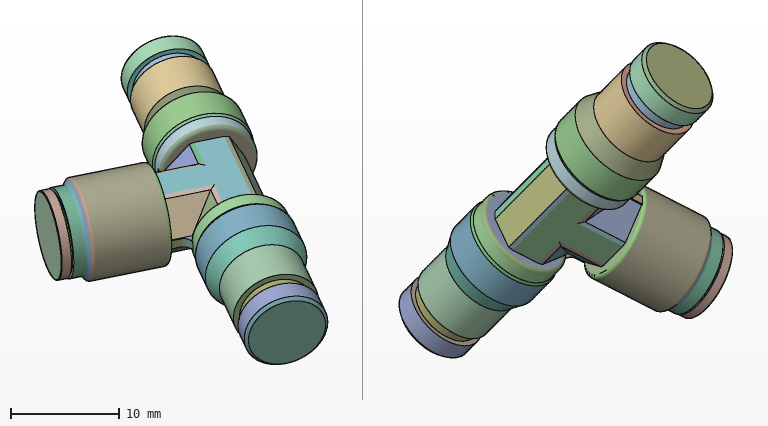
import cadquery as cq

run_half_length = 19.65
run_collar_start = 17.42
run_groove_start = 16.2
cone_end = 11.8
shoulder_end = 9.95
shoulder_start = 6.75
lip_end = 6.5
lip_start = 4.85
run_collar_radius = 4.05
run_groove_radius = 3.55
run_tube_radius = 4.13
shoulder_radius = 4.9
lip_radius = 4.75
lip_round = 0.4
run_end_chamfer = 0.3

branch_length = 17.1
branch_collar_start = 16.13
branch_groove_start = 15.93
neck_start = 14.8
taper_end = 14.47
taper_start = 14.25
sleeve_end = 14.0
sleeve_start = 6.53
branch_collar_radius = 4.25
branch_groove_radius = 3.97
neck_radius = 4.33
taper_inner_radius = 4.5
taper_outer_radius = 4.8
sleeve_radius = 4.9
sleeve_round = 0.35
branch_end_chamfer = 0.08

body_half_height = 3.45
body_back = 3.45
bevel_inner = 1.45
bevel_outer = 1.93
bevel_drop = 0.1
web_half_width = 4.65
slope_foot = 4.52
web_half_thickness = 0.5
web_round = 0.83


def tangent_arc_radius(axial, radial):
    """Radius of an arc that leaves a straight cylinder line and spans the two given offsets."""
    return (axial**2 + radial**2) / (2 * radial)


def run_arm():
    """Revolved socket on the +X end of the run."""
    profile = (
        cq.Workplane("XY")
        .moveTo(lip_start, 0)
        .lineTo(lip_start, lip_radius - lip_round)
        .radiusArc((lip_start + lip_round, lip_radius), lip_round)
        .lineTo(lip_end, lip_radius)
        .lineTo(shoulder_start, shoulder_radius)
        .lineTo(shoulder_end, shoulder_radius)
        .lineTo(cone_end, run_tube_radius)
        .lineTo(run_groove_start, run_tube_radius)
        .lineTo(run_groove_start, run_groove_radius)
        .lineTo(run_collar_start, run_groove_radius)
        .lineTo(run_collar_start, run_collar_radius)
        .lineTo(run_half_length - run_end_chamfer, run_collar_radius)
        .lineTo(run_half_length, run_collar_radius - run_end_chamfer)
        .lineTo(run_half_length, 0)
        .close()
    )
    return profile.revolve(360, (0, 0, 0), (1, 0, 0))


def branch_arm():
    """Revolved socket on the branch, pointing to -Y."""
    taper_round = tangent_arc_radius(taper_start - sleeve_end, sleeve_radius - taper_outer_radius)
    neck_blend = tangent_arc_radius(neck_start - taper_end, taper_inner_radius - neck_radius)
    profile = (
        cq.Workplane("XY")
        .moveTo(0, -sleeve_start)
        .lineTo(sleeve_radius - sleeve_round, -sleeve_start)
        .radiusArc((sleeve_radius, -sleeve_start - sleeve_round), sleeve_round)
        .lineTo(sleeve_radius, -sleeve_end)
        .radiusArc((taper_outer_radius, -taper_start), taper_round)
        .lineTo(taper_inner_radius, -taper_end)
        .radiusArc((neck_radius, -neck_start), -neck_blend)
        .lineTo(neck_radius, -branch_groove_start)
        .lineTo(branch_groove_radius, -branch_groove_start)
        .lineTo(branch_groove_radius, -branch_collar_start)
        .lineTo(branch_collar_radius, -branch_collar_start)
        .lineTo(branch_collar_radius, -branch_length + branch_end_chamfer)
        .lineTo(branch_collar_radius - branch_end_chamfer, -branch_length)
        .lineTo(0, -branch_length)
        .close()
    )
    return profile.revolve(360, (0, 0, 0), (0, 1, 0))


def bar_side(web_points):
    """One side of a bar outline, from its flat top round the given web points to its flat bottom."""
    bevel = [(bevel_inner, body_half_height), (bevel_outer, body_half_height - bevel_drop)]
    upper = bevel + web_points
    return upper + [(across, -up) for across, up in reversed(upper)]


def body():
    """Run bar with a steeper back, joined to a symmetric branch bar."""
    shelf_side = bar_side([(slope_foot, web_half_thickness), (web_half_width, web_half_thickness)])
    opposite_side = [(-across, -up) for across, up in shelf_side]
    back_side = bar_side([(body_back, web_half_thickness)])
    run_outline = cq.Workplane("YZ").polyline(back_side + opposite_side).close()
    run_bar = run_outline.extrude(lip_start, both=True)
    branch_outline = cq.Workplane("XZ").polyline(shelf_side + opposite_side).close()
    branch_bar = branch_outline.extrude(sleeve_start + sleeve_round)
    return run_bar.union(branch_bar)


def corner_web():
    """Thin mid-plane web whose concave corner blends the +X lip into the branch."""
    corner_x = web_half_width + web_round
    corner_y = -lip_radius - web_round
    outline = (
        cq.Workplane("XY")
        .lineTo(corner_x, 0)
        .lineTo(corner_x, -lip_radius)
        .radiusArc((web_half_width, corner_y), -web_round)
        .lineTo(0, corner_y)
        .close()
    )
    return outline.extrude(web_half_thickness, both=True)


right_side = run_arm().union(corner_web())
result = body().union(right_side).union(right_side.mirror("YZ")).union(branch_arm())